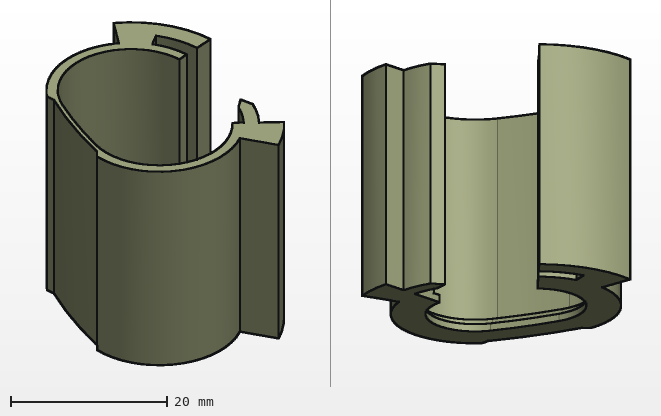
import cadquery as cq
import math

height = 30.0
end_center_x = 4.23

outer_radius = 10.85
bore_radius = 9.38
ledge_radius = 7.4
lip_radius = 6.38
ledge_height = 1.98
lip_height = 1.0

web_bore_radius = 61.38
web_edge_x = 6.48
web_edge_y = -9.85
web_bottom_y = -10.2
lug_angle = 72.2

gap_angle = 66.5
gap_reach = 34.1

catch_radius = 15.48
catch_root_angle = 163.0
slot_end_angle = 140.2
slot_radius = 12.82

block_radius = 16.03
block_angle = 47.5
tongue_angle = 85.5
tongue_tip_angle = 93.0
tongue_tip_radius = (outer_radius + slot_radius) / 2

root_overlap = 0.68
root_overlap_angle = 5.0


def polar(center_x, radius, angle):
    """Point at an angle in degrees on a circle centered on the X axis."""
    turn = math.radians(angle)
    return (center_x + radius * math.cos(turn), radius * math.sin(turn))


def mirrored(point):
    return (-point[0], point[1])


def inner_prism(radius, depth):
    """Solid inside an offset of the bore, with a web arc tangent to both ends."""
    center_distance = web_bore_radius - bore_radius
    tangent_angle = -math.degrees(math.acos(end_center_x / center_distance))
    web_center_y = math.sqrt(center_distance**2 - end_center_x**2)
    web_radius = center_distance + radius
    right_top = polar(end_center_x, radius, gap_angle)
    right_side = polar(end_center_x, radius, 0)
    right_tangent = polar(end_center_x, radius, tangent_angle)
    return (
        cq.Workplane("XY")
        .moveTo(*right_top)
        .threePointArc(right_side, right_tangent)
        .threePointArc((0, web_center_y - web_radius), mirrored(right_tangent))
        .threePointArc(mirrored(right_side), mirrored(right_top))
        .close()
        .extrude(depth)
    )


def outer_prism():
    """Solid inside the outer wall, with a small lug at each side of the web."""
    right_top = polar(end_center_x, outer_radius, gap_angle)
    right_side = polar(end_center_x, outer_radius, 0)
    lug_tip = polar(end_center_x, outer_radius, -lug_angle)
    web_edge = (web_edge_x, web_edge_y)
    return (
        cq.Workplane("XY")
        .moveTo(*right_top)
        .threePointArc(right_side, lug_tip)
        .lineTo(*web_edge)
        .threePointArc((0, web_bottom_y), mirrored(web_edge))
        .lineTo(*mirrored(lug_tip))
        .threePointArc(mirrored(right_side), mirrored(right_top))
        .close()
        .extrude(height)
    )


def sector(center_x, inner, outer, start_angle, end_angle):
    """Full-height ring sector around one round end."""
    middle_angle = (start_angle + end_angle) / 2
    return (
        cq.Workplane("XY")
        .moveTo(*polar(center_x, inner, start_angle))
        .lineTo(*polar(center_x, outer, start_angle))
        .threePointArc(polar(center_x, outer, middle_angle), polar(center_x, outer, end_angle))
        .lineTo(*polar(center_x, inner, end_angle))
        .threePointArc(polar(center_x, inner, middle_angle), polar(center_x, inner, start_angle))
        .close()
        .extrude(height)
    )


def gap_cutter():
    """Opening bounded by radial lines from the two end centers."""
    right_end = polar(end_center_x, gap_reach, gap_angle)
    outline = [(-end_center_x, 0), (end_center_x, 0), right_end, mirrored(right_end)]
    return cq.Workplane("XY").polyline(outline).close().extrude(height)


def wall():
    ledge_step = inner_prism(bore_radius, height - ledge_height).translate((0, 0, ledge_height))
    lip_step = inner_prism(ledge_radius, height - lip_height).translate((0, 0, lip_height))
    through_opening = inner_prism(lip_radius, height)
    return outer_prism().cut(ledge_step).cut(lip_step).cut(through_opening).cut(gap_cutter())


def left_catch():
    root_radius = outer_radius - root_overlap
    root = sector(-end_center_x, root_radius, catch_radius, slot_end_angle, catch_root_angle)
    prong = sector(-end_center_x, slot_radius, catch_radius, 180 - gap_angle, slot_end_angle)
    return root.union(prong)


def right_catch():
    root_radius = outer_radius - root_overlap
    block = sector(end_center_x, root_radius, block_radius, block_angle, gap_angle)
    root_angle = gap_angle - root_overlap_angle
    tongue = sector(end_center_x, outer_radius, slot_radius, root_angle, tongue_angle)
    tip_outline = [
        polar(end_center_x, outer_radius, tongue_angle),
        polar(end_center_x, slot_radius, tongue_angle),
        polar(end_center_x, tongue_tip_radius, tongue_tip_angle),
    ]
    tip = cq.Workplane("XY").polyline(tip_outline).close().extrude(height)
    return block.union(tongue).union(tip)


result = wall().union(left_catch()).union(right_catch())